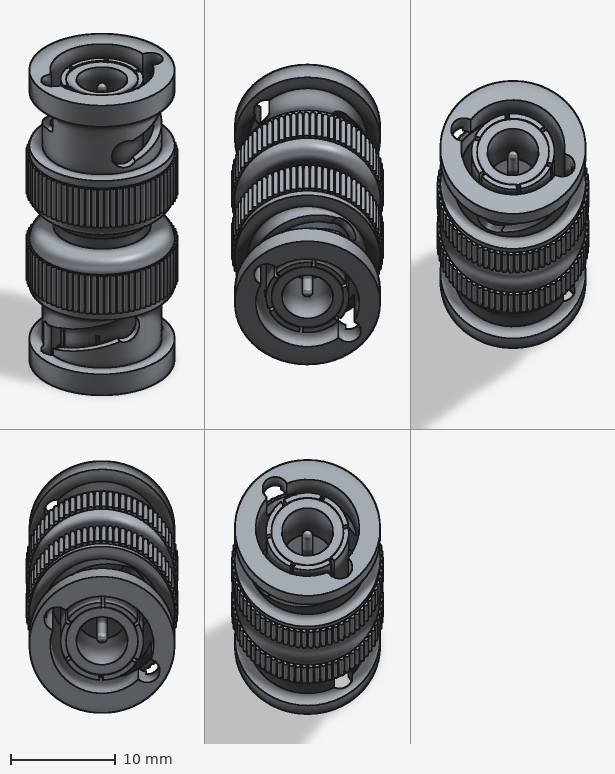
import cadquery as cq
import math


half_length = 15.9
neck_top = 1.1
knurl_bottom = 2.65
knurl_top = 6.85
shoulder_top = 7.65
flange_bottom = 13.58
keyway_floor = 10.72
gap_floor = knurl_bottom
socket_floor = shoulder_top
collet_top = 14.92
collet_slit_bottom = 11.1
insulator_recess = 0.13
insulator_top = collet_top - insulator_recess
pin_center_top = 13.87

neck_radius = 4.68
rim_radius = 6.95
knurl_tip_diameter = 14.47
knurl_tip_radius = knurl_tip_diameter / 2
knurl_tooth_count = 72
knurl_gap = 0.13
tube_radius = 5.7
bore_radius = 4.93

keyway_width = 2.4
keyway_radius = keyway_width / 2
keyway_reach = 6.25
keyway_corner_fillet = 0.5

slot_height = 2.42
slot_end_height = 9.48
slot_start_height = 11.95
lug_seat_radius = 1.43
lug_seat_height = 9.57
wall_margin = 0.15

collet_radius = 3.95
insulator_radius = 3.45
socket_diameter = 4.87
socket_radius = socket_diameter / 2
pin_radius = 0.5
slit_width = 0.35
slit_count = 6


def cylinder(radius, bottom, top):
    return cq.Workplane("XY").workplane(offset=bottom).circle(radius).extrude(top - bottom)


def polar(radius, degrees):
    angle = math.radians(degrees)
    return (radius * math.cos(angle), radius * math.sin(angle))


def make_shell_blank():
    """Turned outside of a half: neck, rounded shoulder, slim tube and end flange."""
    corner = rim_radius - (knurl_bottom - neck_top)
    bulge = (knurl_bottom - neck_top) * math.sqrt(0.5)
    return (
        cq.Workplane("XZ")
        .lineTo(neck_radius, 0)
        .lineTo(neck_radius, neck_top)
        .lineTo(corner, neck_top)
        .threePointArc((corner + bulge, knurl_bottom - bulge), (rim_radius, knurl_bottom))
        .lineTo(rim_radius, shoulder_top)
        .lineTo(tube_radius, shoulder_top)
        .lineTo(tube_radius, flange_bottom)
        .lineTo(rim_radius, flange_bottom)
        .lineTo(rim_radius, half_length)
        .lineTo(0, half_length)
        .close()
        .revolve(360, (0, 0, 0), (0, 1, 0))
    )


def make_knurl():
    """Grip band of rounded axial teeth, with one tooth centred on the X axis."""
    pitch = 360 / knurl_tooth_count
    half_tooth = (pitch - math.degrees(knurl_gap / rim_radius)) / 2
    outline = cq.Workplane("XY").workplane(offset=knurl_bottom).moveTo(*polar(rim_radius, -half_tooth))
    for tooth in range(knurl_tooth_count):
        center = tooth * pitch
        outline = outline.threePointArc(
            polar(knurl_tip_radius, center), polar(rim_radius, center + half_tooth)
        ).threePointArc(
            polar(rim_radius, center + pitch / 2), polar(rim_radius, center + pitch - half_tooth)
        )
    return outline.close().extrude(knurl_top - knurl_bottom)


def make_keyway():
    """Axial entry groove on the -Y side, with rounded floor corners and a round outer wall."""
    arc_center = keyway_reach - keyway_radius
    block = (
        cq.Workplane("XY")
        .workplane(offset=keyway_floor)
        .moveTo(-keyway_radius, -collet_radius)
        .lineTo(-keyway_radius, -arc_center)
        .threePointArc((0, -keyway_reach), (keyway_radius, -arc_center))
        .lineTo(keyway_radius, -collet_radius)
        .close()
        .extrude(half_length - keyway_floor)
    )
    return block.faces("<Z").edges("|Y").fillet(keyway_corner_fillet)


def make_helical_slot():
    """Quarter-turn slot climbing from the -X side to the keyway on the -Y side."""
    rise = slot_start_height - slot_end_height
    pitch = 4 * rise
    helix = cq.Wire.makeHelix(pitch, rise, tube_radius)
    profile_center = (bore_radius + tube_radius) / 2
    profile_width = tube_radius - bore_radius + 2 * wall_margin
    sweep = (
        cq.Workplane("XZ")
        .center(profile_center, 0)
        .rect(profile_width, slot_height)
        .sweep(cq.Workplane(helix), isFrenet=True)
    )
    return sweep.rotate((0, 0, 0), (0, 0, 1), 180).translate((0, 0, slot_end_height))


def make_lug_seat():
    """Round radial hole on the -X side that ends the helical slot."""
    return (
        cq.Workplane("YZ")
        .workplane(offset=-tube_radius - wall_margin)
        .center(0, lug_seat_height)
        .circle(lug_seat_radius)
        .extrude(tube_radius + wall_margin - collet_radius)
    )


def make_collet():
    """Slotted ring around the insulator, with the contact socket left open."""
    collet = cylinder(collet_radius, gap_floor, collet_top)
    collet = collet.cut(cylinder(insulator_radius, insulator_top, collet_top))
    collet = collet.cut(cylinder(socket_radius, socket_floor, insulator_top))
    core = cylinder(insulator_radius, collet_slit_bottom, collet_top)
    slit_height = collet_top - collet_slit_bottom
    for index in range(slit_count):
        slit = (
            cq.Workplane("XY")
            .workplane(offset=collet_slit_bottom)
            .center(0, collet_radius)
            .rect(slit_width, collet_radius)
            .extrude(slit_height)
            .cut(core)
            .rotate((0, 0, 0), (0, 0, 1), index * 360 / slit_count)
        )
        collet = collet.cut(slit)
    return collet


def make_center_pin():
    tip = cq.Workplane("XY").sphere(pin_radius).translate((0, 0, pin_center_top))
    return cylinder(pin_radius, socket_floor, pin_center_top).union(tip)


def make_plug_half():
    half = make_shell_blank().union(make_knurl())
    half = half.cut(cylinder(bore_radius, gap_floor, half_length))
    for cutter in (make_keyway(), make_helical_slot(), make_lug_seat()):
        for turn in (0, 180):
            half = half.cut(cutter.rotate((0, 0, 0), (0, 0, 1), turn))
    return half.union(make_collet()).union(make_center_pin())


upper_half = make_plug_half()
lower_half = upper_half.rotate((0, 0, 0), (0, 1, 0), 180)

result = cq.Compound.makeCompound([upper_half.val(), lower_half.val()])